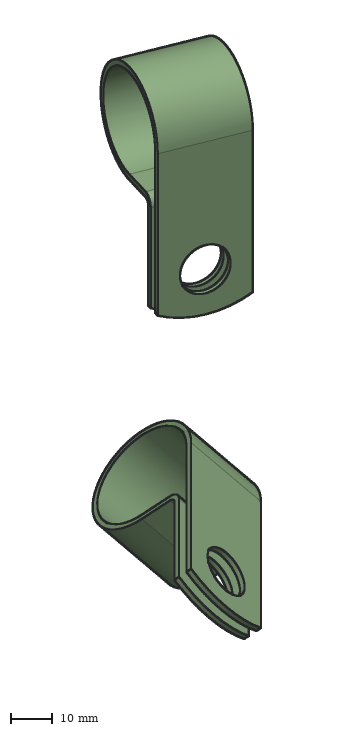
import cadquery as cq
import math

tube_diameter = 28.575
strap_thickness = 1.524
strap_width = 25.4
overall_height = 64.22
tab_gap = 2.36
bend_inner_radius = 1.4
bolt_hole_diameter = 13.49
bolt_hole_edge_distance = 12.7
tab_end_radius = 28.575

inner_radius = tube_diameter / 2
outer_radius = inner_radius + strap_thickness
bottom_z = outer_radius - overall_height
short_tab_outer_x = inner_radius - tab_gap
short_tab_inner_x = short_tab_outer_x - strap_thickness
bend_outer_radius = bend_inner_radius + strap_thickness
bend_center_x = short_tab_outer_x - bend_outer_radius
bend_center_z = -inner_radius - bend_outer_radius
half_width = strap_width / 2


def arc_point(center_x, center_z, radius, angle_degrees):
    """Point on a circle in the XZ plane, angle measured from +X towards +Z."""
    angle = math.radians(angle_degrees)
    return (center_x + radius * math.cos(angle), center_z + radius * math.sin(angle))


def make_strap():
    """Bent strip: long tab, three-quarter loop, flat, bend and short tab."""
    return (
        cq.Workplane("XZ")
        .moveTo(outer_radius, bottom_z)
        .lineTo(outer_radius, 0)
        .threePointArc(arc_point(0, 0, outer_radius, 135), (0, -outer_radius))
        .lineTo(bend_center_x, -outer_radius)
        .threePointArc(
            arc_point(bend_center_x, bend_center_z, bend_inner_radius, 45),
            (short_tab_inner_x, bend_center_z),
        )
        .lineTo(short_tab_inner_x, bottom_z)
        .lineTo(short_tab_outer_x, bottom_z)
        .lineTo(short_tab_outer_x, bend_center_z)
        .threePointArc(
            arc_point(bend_center_x, bend_center_z, bend_outer_radius, 45),
            (bend_center_x, -inner_radius),
        )
        .lineTo(0, -inner_radius)
        .threePointArc(arc_point(0, 0, inner_radius, 135), (inner_radius, 0))
        .lineTo(inner_radius, bottom_z)
        .close()
        .extrude(half_width, both=True)
    )


def make_tab_silhouette():
    """Outline seen along X: full width, with the rounded lower end."""
    end_rise = tab_end_radius - math.sqrt(tab_end_radius**2 - half_width**2)
    corner_z = bottom_z + end_rise
    return (
        cq.Workplane("YZ")
        .moveTo(-half_width, outer_radius)
        .lineTo(-half_width, corner_z)
        .threePointArc((0, bottom_z), (half_width, corner_z))
        .lineTo(half_width, outer_radius)
        .close()
        .extrude(outer_radius, both=True)
    )


def make_bolt_hole():
    """Cylinder along X that passes through both tabs."""
    return (
        cq.Workplane("YZ")
        .center(0, bottom_z + bolt_hole_edge_distance)
        .circle(bolt_hole_diameter / 2)
        .extrude(outer_radius, both=True)
    )


result = make_strap().intersect(make_tab_silhouette()).cut(make_bolt_hole())